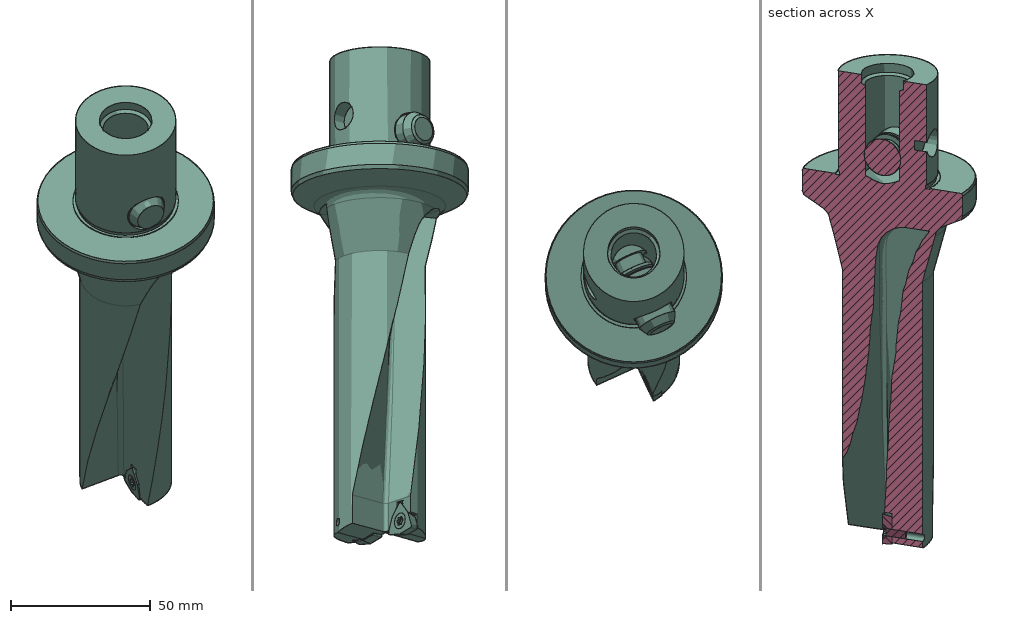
import cadquery as cq
import math


TOTAL_LENGTH = 180.0
DRILL_RADIUS = 33.0 / 2
NECK_START = 103.9
NECK_RADIUS, NECK_TOP = 21.2, 122.2
FLARE_RADIUS, FLARE_TOP = 23.5, 125.8
FLARE_BULGE = 0.4
FLANGE_RADIUS = 63.5 / 2
FLANGE_BOTTOM, FLANGE_TOP = 130.0, 140.2
FLANGE_LOWER_CHAMFER = (0.5, 1.5)
FLANGE_UPPER_CHAMFER = (0.4, 0.9)
SHANK_RADIUS = 18.0
UNDERCUT_SHANK_DEPTH, UNDERCUT_HEIGHT, UNDERCUT_RAMP = 0.45, 0.7, 0.5
UNDERCUT_FLANGE_WIDTH, UNDERCUT_FLANGE_DEPTH = 0.9, 0.4

COUNTERBORE_RADIUS, COUNTERBORE_DEPTH = 9.4, 3.5
BORE_RADIUS, BORE_SHOULDER = 8.1, 0.7
BORE_BOTTOM, BORE_POINT_ANGLE = 141.3, 118.0
PIN_HEIGHT, PIN_RADIUS = 149.2, 7.0
MOUTH_RADIUS, MOUTH_START = 7.4, 16.2
INDEX_HOLE_RADIUS, INDEX_HOLE_HEIGHT, INDEX_HOLE_DEPTH = 5.0, 155.9, 5.4

LEFT_PIN_END, LEFT_CONE_START = -23.5, -20.2
LEFT_RIM_RADIUS, LEFT_TIP_RADIUS, TIP_CHAMFER = 5.4, 4.3, 0.5
MEETING_X, INNER_CHAMFER = -1.6, 0.5
GROOVE_RADIUS, GROOVE_START, GROOVE_END = 5.2, 0.0, 4.7
RIGHT_CONE_START, RIGHT_PIN_END, RIGHT_TIP_RADIUS = 16.7, 20.0, 5.2

FRONT_TWIST_START, BACK_TWIST_START = 0.0, 13.0
FRONT_ANGLE, BACK_ANGLE = 0, 180
FLOOR_TWIST = 0.6111
FRONT_WALL_OFFSET, FRONT_WALL_TWIST = -2.9, 0.8889
BACK_WALL_OFFSET, BACK_WALL_TWIST = 3.2, 0.8333
FLUTE_TOP = 123.5
RUNOUT_RADIUS = 10.5
ROOT_RADIUS = 1.5
FLUTE_REACH = 36.0
FLUTE_BOTTOM = -1.8
TWIST_STEPS, RUNOUT_STEPS = 10, 6

INSERT_INNER_RADIUS = 9.5 / 2
TRIGON_CORNER = 80.0
END_EDGE_SLOPE = TRIGON_CORNER / 2 - 30
INSERT_CORNER_RADIUS = 0.7
INSERT_THICKNESS, INSERT_RELIEF = 3.6, 7.0
BLUNT_RADIUS = INSERT_INNER_RADIUS / math.cos(math.radians(END_EDGE_SLOPE))
SHARP_RADIUS = INSERT_INNER_RADIUS / math.sin(math.radians(TRIGON_CORNER / 2))
INSERT_HEIGHT = BLUNT_RADIUS
INNER_INSERT_X, OUTER_INSERT_X = 5.0, -10.8
TIP_CLEARANCE = 0.9
CORNER_RELIEF_WIDTH, CORNER_RELIEF_TOP = 3.0, 12.2
OUTER_POCKET_TOP = 6.8
SCREW_HEAD_RADIUS, SCREW_HEAD_DEPTH = 2.9, 1.8
SCREW_RADIUS, SCREW_LENGTH = 1.35, 9.0
SOCKET_RADIUS, SOCKET_DEPTH = 1.3, 1.3
SOCKET_LOBES, SOCKET_LOBE_RADIUS = 6, 0.4


def polar(radius, degrees):
    return (radius * math.cos(math.radians(degrees)), radius * math.sin(math.radians(degrees)))


def box(x0, x1, y0, y1, z0, z1):
    return cq.Workplane("XY", origin=(x0, y0, z0)).box(x1 - x0, y1 - y0, z1 - z0, centered=False)


def make_blank():
    low_r, low_z = FLANGE_LOWER_CHAMFER
    up_r, up_z = FLANGE_UPPER_CHAMFER
    undercut_radius = SHANK_RADIUS - UNDERCUT_SHANK_DEPTH
    undercut_bottom = FLANGE_TOP - UNDERCUT_FLANGE_DEPTH
    flare_middle = (
        (NECK_RADIUS + FLARE_RADIUS) / 2 - FLARE_BULGE,
        (NECK_TOP + FLARE_TOP) / 2 + FLARE_BULGE,
    )
    profile = (
        cq.Workplane("XZ")
        .lineTo(DRILL_RADIUS, 0)
        .lineTo(DRILL_RADIUS, NECK_START)
        .lineTo(NECK_RADIUS, NECK_TOP)
        .threePointArc(flare_middle, (FLARE_RADIUS, FLARE_TOP))
        .lineTo(FLANGE_RADIUS - low_r, FLANGE_BOTTOM)
        .lineTo(FLANGE_RADIUS, FLANGE_BOTTOM + low_z)
        .lineTo(FLANGE_RADIUS, FLANGE_TOP - up_z)
        .lineTo(FLANGE_RADIUS - up_r, FLANGE_TOP)
        .lineTo(SHANK_RADIUS + UNDERCUT_FLANGE_WIDTH, FLANGE_TOP)
        .lineTo(SHANK_RADIUS + UNDERCUT_FLANGE_WIDTH, undercut_bottom)
        .lineTo(undercut_radius, undercut_bottom)
        .lineTo(undercut_radius, FLANGE_TOP + UNDERCUT_HEIGHT)
        .lineTo(SHANK_RADIUS, FLANGE_TOP + UNDERCUT_HEIGHT + UNDERCUT_RAMP)
        .lineTo(SHANK_RADIUS, TOTAL_LENGTH)
        .lineTo(0, TOTAL_LENGTH)
        .close()
    )
    return profile.revolve(360, (0, 0, 0), (0, 1, 0))


def make_shank_bore():
    point_depth = BORE_RADIUS / math.tan(math.radians(BORE_POINT_ANGLE / 2))
    shoulder_top = TOTAL_LENGTH - COUNTERBORE_DEPTH
    profile = (
        cq.Workplane("XZ")
        .moveTo(0, BORE_BOTTOM - point_depth)
        .lineTo(BORE_RADIUS, BORE_BOTTOM)
        .lineTo(BORE_RADIUS, shoulder_top - BORE_SHOULDER)
        .lineTo(COUNTERBORE_RADIUS, shoulder_top)
        .lineTo(COUNTERBORE_RADIUS, TOTAL_LENGTH)
        .lineTo(0, TOTAL_LENGTH)
        .close()
    )
    return profile.revolve(360, (0, 0, 0), (0, 1, 0))


def make_cross_hole():
    hole = cq.Workplane("YZ").center(0, PIN_HEIGHT).circle(PIN_RADIUS)
    hole = hole.extrude(FLANGE_RADIUS, both=True)
    for side in (1, -1):
        mouth = cq.Workplane("YZ", origin=(side * MOUTH_START, 0, PIN_HEIGHT)).circle(MOUTH_RADIUS)
        hole = hole.union(mouth.extrude(side * SHANK_RADIUS))
    return hole


def make_index_hole():
    """Blind hole in the +Y side of the shank."""
    floor_y = SHANK_RADIUS - INDEX_HOLE_DEPTH
    hole = cq.Workplane("XZ", origin=(0, floor_y, INDEX_HOLE_HEIGHT)).circle(INDEX_HOLE_RADIUS)
    return hole.extrude(-SHANK_RADIUS)


def make_flute(start_angle, twist_start, wall_offset, wall_twist):
    """Cutter bounded by a floor through the axis and a wall beside the axis.

    Below twist_start the cutter is straight; above it floor and wall each turn about Z at
    their own rate. At the top the wall curves across the flute to close it.
    """

    def section(z):
        turning_height = max(0, z - twist_start)
        floor = start_angle + FLOOR_TWIST * turning_height
        wall = start_angle + wall_twist * turning_height
        rise = min(RUNOUT_RADIUS, max(0, z - (FLUTE_TOP - RUNOUT_RADIUS)))
        shift = RUNOUT_RADIUS - math.sqrt(RUNOUT_RADIUS**2 - rise**2)
        root_distance = (wall_offset + shift) / math.cos(math.radians(floor - wall))
        root = cq.Vector(*polar(root_distance, floor), z)
        along_floor = cq.Vector(*polar(1, floor))
        along_wall = cq.Vector(*polar(1, wall - 90))
        opening = floor - wall + 90
        half = math.radians(opening / 2)
        bisector = cq.Vector(*polar(1, floor - opening / 2))
        tangent_length = ROOT_RADIUS / math.tan(half)
        floor_tangent = root + along_floor * tangent_length
        wall_tangent = root + along_wall * tangent_length
        arc_middle = root + bisector * (ROOT_RADIUS / math.sin(half) - ROOT_RADIUS)
        floor_end = root + along_floor * FLUTE_REACH
        wall_end = root + along_wall * FLUTE_REACH
        return cq.Wire.assembleEdges([
            cq.Edge.makeThreePointArc(wall_tangent, arc_middle, floor_tangent),
            cq.Edge.makeLine(floor_tangent, floor_end),
            cq.Edge.makeLine(floor_end, wall_end),
            cq.Edge.makeLine(wall_end, wall_tangent),
        ])

    runout_start = FLUTE_TOP - RUNOUT_RADIUS
    levels = []
    for i in range(TWIST_STEPS):
        levels.append(twist_start + (runout_start - twist_start) * i / TWIST_STEPS)
    for i in range(RUNOUT_STEPS + 1):
        arc_angle = math.pi / 2 * i / RUNOUT_STEPS
        levels.append(runout_start + RUNOUT_RADIUS * math.sin(arc_angle))
    straight = cq.Solid.makeLoft([section(FLUTE_BOTTOM), section(twist_start)], True)
    twisted = cq.Solid.makeLoft([section(z) for z in levels])
    return [straight, twisted]


def make_trigon():
    """Three-cornered insert plate with relieved sides and rounded sharp corners."""
    points = []
    for i in range(3):
        points.append(polar(SHARP_RADIUS, 90 + 120 * i))
        points.append(polar(BLUNT_RADIUS, 150 + 120 * i))
    plate = (
        cq.Workplane("XZ", origin=(0, 0, INSERT_HEIGHT))
        .polyline(points)
        .close()
        .extrude(-INSERT_THICKNESS, taper=INSERT_RELIEF)
    )
    centre = cq.Vector(0, INSERT_THICKNESS / 2, INSERT_HEIGHT)
    corner_distance = (SHARP_RADIUS + BLUNT_RADIUS) / 2
    corner_edges = plate.edges().filter(lambda edge: abs(edge.Center().y - centre.y) < INSERT_THICKNESS / 4)
    sharp_edges = corner_edges.filter(lambda edge: (edge.Center() - centre).Length > corner_distance)
    return sharp_edges.fillet(INSERT_CORNER_RADIUS)


def make_screw_blank(length):
    """Countersunk head and shank, also the shape of the screw's hole."""
    profile = (
        cq.Workplane("XY", origin=(0, 0, INSERT_HEIGHT))
        .lineTo(SCREW_HEAD_RADIUS, 0)
        .lineTo(SCREW_RADIUS, SCREW_HEAD_DEPTH)
        .lineTo(SCREW_RADIUS, length)
        .lineTo(0, length)
        .close()
    )
    return profile.revolve(360, (0, 0, 0), (0, 1, 0))


def make_insert():
    return make_trigon().cut(make_screw_blank(SCREW_LENGTH))


def make_screw():
    """Flush countersunk screw with a six-lobed socket."""
    socket = (
        cq.Workplane("XZ", origin=(0, 0, INSERT_HEIGHT))
        .circle(SOCKET_RADIUS)
        .extrude(-SOCKET_DEPTH)
    )
    lobes = (
        cq.Workplane("XZ", origin=(0, 0, INSERT_HEIGHT))
        .polarArray(SOCKET_RADIUS, 0, 360, SOCKET_LOBES)
        .circle(SOCKET_LOBE_RADIUS)
        .extrude(-SOCKET_DEPTH)
    )
    socket = socket.union(lobes)
    return make_screw_blank(SCREW_LENGTH).cut(socket)


def make_pocket():
    """Seat for one insert and its screw, with a relief around the upper sharp corner."""
    half_width = CORNER_RELIEF_WIDTH / 2
    relief = box(-half_width, half_width, 0, INSERT_THICKNESS, INSERT_HEIGHT, CORNER_RELIEF_TOP)
    return make_trigon().union(relief).union(make_screw_blank(FLANGE_RADIUS))


def to_inner(shape):
    return shape.translate((INNER_INSERT_X, 0, 0))


def to_outer(shape):
    return shape.rotate((0, 0, 0), (0, 0, 1), 180).translate((OUTER_INSERT_X, 0, 0))


def make_tip_relief(peak_x, direction):
    """Space under the +Y or -Y half of the drill tip, parallel to the end edges of its insert."""
    slope = math.tan(math.radians(END_EDGE_SLOPE))
    right = peak_x + FLUTE_REACH
    left = peak_x - FLUTE_REACH
    outer_height = TIP_CLEARANCE + slope * FLUTE_REACH
    prism = (
        cq.Workplane("XZ")
        .moveTo(peak_x, TIP_CLEARANCE)
        .lineTo(right, outer_height)
        .lineTo(right, FLUTE_BOTTOM)
        .lineTo(left, FLUTE_BOTTOM)
        .lineTo(left, outer_height)
        .close()
    )
    return prism.extrude(-direction * FLANGE_RADIUS)


def turn_pin(points):
    """Turn a profile of (x, radius) points about the cross hole axis."""
    profile = cq.Workplane("XZ", origin=(0, 0, PIN_HEIGHT)).polyline(points).close()
    return profile.revolve(360, (0, 0, 0), (1, 0, 0))


def make_left_pin():
    return turn_pin([
        (LEFT_PIN_END, 0),
        (LEFT_PIN_END, LEFT_TIP_RADIUS),
        (LEFT_PIN_END + TIP_CHAMFER, LEFT_RIM_RADIUS),
        (LEFT_CONE_START, PIN_RADIUS),
        (MEETING_X - INNER_CHAMFER, PIN_RADIUS),
        (MEETING_X, PIN_RADIUS - INNER_CHAMFER),
        (MEETING_X, 0),
    ])


def make_right_pin():
    return turn_pin([
        (MEETING_X, 0),
        (MEETING_X, PIN_RADIUS - INNER_CHAMFER),
        (MEETING_X + INNER_CHAMFER, PIN_RADIUS),
        (GROOVE_START, PIN_RADIUS),
        (GROOVE_START, GROOVE_RADIUS),
        (GROOVE_END, GROOVE_RADIUS),
        (GROOVE_END, PIN_RADIUS),
        (RIGHT_CONE_START, PIN_RADIUS),
        (RIGHT_PIN_END, RIGHT_TIP_RADIUS),
        (RIGHT_PIN_END, 0),
    ])


def make_body():
    body = make_blank().cut(make_shank_bore()).cut(make_cross_hole()).cut(make_index_hole())
    front_flute = make_flute(FRONT_ANGLE, FRONT_TWIST_START, FRONT_WALL_OFFSET, FRONT_WALL_TWIST)
    back_flute = make_flute(BACK_ANGLE, BACK_TWIST_START, BACK_WALL_OFFSET, BACK_WALL_TWIST)
    for cutter in front_flute + back_flute:
        body = body.cut(cq.Workplane(cutter))
    body = body.cut(make_tip_relief(INNER_INSERT_X, 1)).cut(make_tip_relief(OUTER_INSERT_X, -1))
    body = body.cut(to_inner(make_pocket())).cut(to_outer(make_pocket()))
    outboard = OUTER_INSERT_X - BLUNT_RADIUS * math.cos(math.radians(30))
    body = body.cut(box(-FLUTE_REACH, outboard, -INSERT_THICKNESS, 0, FLUTE_BOTTOM, OUTER_POCKET_TOP))
    return body


body = make_body()
bodies = [body.val()]
for place in (to_inner, to_outer):
    bodies.append(place(make_insert()).val())
    bodies.append(place(make_screw()).val())
bodies.append(make_left_pin().val())
bodies.append(make_right_pin().val())
result = cq.Compound.makeCompound(bodies)